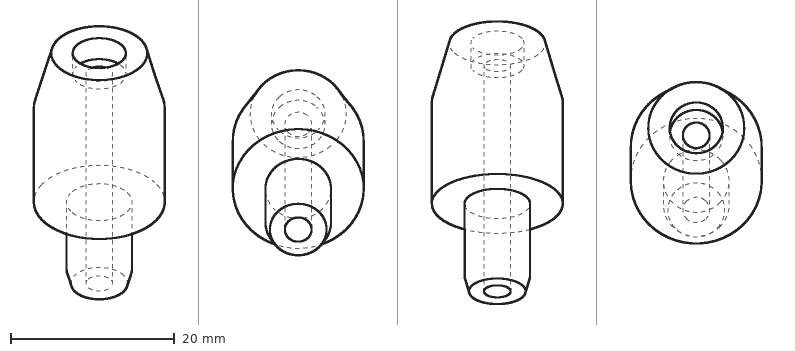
import cadquery as cq
import math

total_height = 34.0
body_diameter = 16.0
pin_diameter = body_diameter / 2
pin_length = 12.0
pin_tip_height = 2.0
nose_height = 8.0
taper_angle = 15.0
bore_diameter = 3.25
counterbore_diameter = 6.5
counterbore_depth = 3.1

body_radius = body_diameter / 2
pin_radius = pin_diameter / 2
taper_slope = math.tan(math.radians(taper_angle))
nose_top_radius = body_radius - nose_height * taper_slope
pin_tip_radius = pin_radius - pin_tip_height * taper_slope
nose_base = total_height - nose_height


def make_outer_body():
    """Pin with tapered tip, cylindrical body and conical nose, turned about Z."""
    half_profile = (
        cq.Workplane("XZ")
        .moveTo(0, 0)
        .lineTo(pin_tip_radius, 0)
        .lineTo(pin_radius, pin_tip_height)
        .lineTo(pin_radius, pin_length)
        .lineTo(body_radius, pin_length)
        .lineTo(body_radius, nose_base)
        .lineTo(nose_top_radius, total_height)
        .lineTo(0, total_height)
        .close()
    )
    return half_profile.revolve(360, (0, 0, 0), (0, 1, 0))


def cut_counterbored_hole(body):
    """Through bore along Z, counterbored from the nose face."""
    return (
        body.faces(">Z")
        .workplane(origin=(0, 0, total_height))
        .cboreHole(bore_diameter, counterbore_diameter, counterbore_depth)
    )


result = cut_counterbored_hole(make_outer_body())